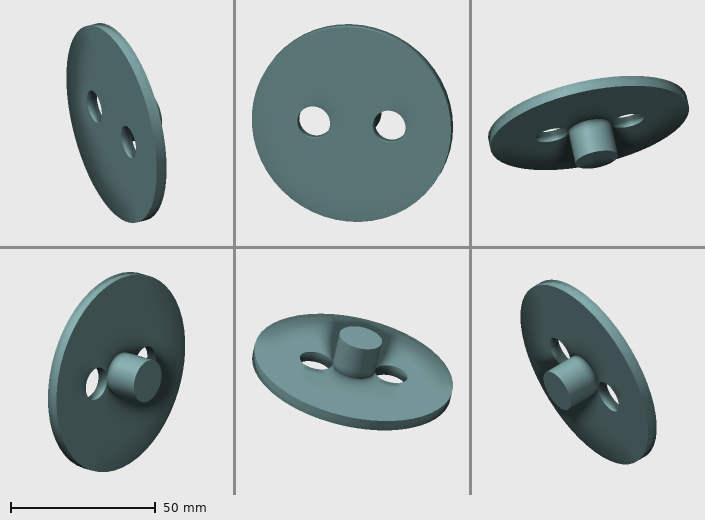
import cadquery as cq

disc_diameter = 70.0
disc_thickness = 3.8
boss_diameter = 15.0
boss_height = 12.0
hole_diameter = 11.5
hole_spacing = 26.5


def make_disc():
    """Flat disc with its axis along Y and its front face at Y = 0."""
    return cq.Workplane("XZ").circle(disc_diameter / 2).extrude(-disc_thickness)


def add_boss(body):
    """Central cylindrical boss standing on the back face, toward +Y."""
    boss = (
        cq.Workplane("XZ")
        .circle(boss_diameter / 2)
        .extrude(-(disc_thickness + boss_height))
    )
    return body.union(boss)


def cut_holes(body):
    """Two through holes, placed symmetrically about the disc axis along X."""
    hole_centres = [(-hole_spacing / 2, 0), (hole_spacing / 2, 0)]
    holes = (
        cq.Workplane("XZ")
        .pushPoints(hole_centres)
        .circle(hole_diameter / 2)
        .extrude(-disc_thickness)
    )
    return body.cut(holes)


result = cut_holes(add_boss(make_disc()))